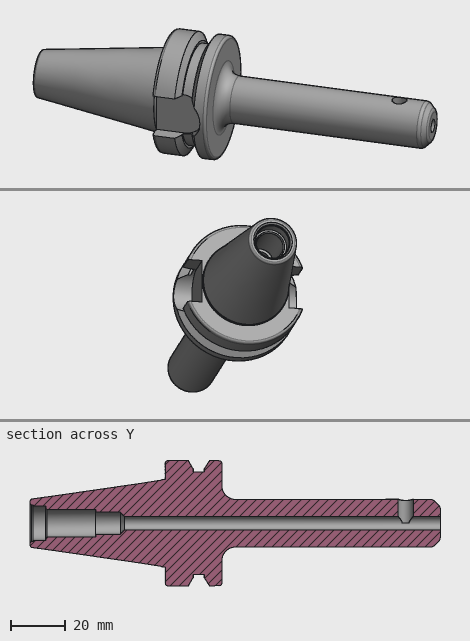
import cadquery as cq
import math

TOTAL_LENGTH = 150.4
TAPER_RATIO = 7 / 24
TAPER_LENGTH = 48.5
GAUGE_RADIUS = 31.9 / 2
SMALL_END_RADIUS = GAUGE_RADIUS - TAPER_LENGTH * TAPER_RATIO / 2
SMALL_END_ROUND = 0.8
COLLAR_RADIUS = 16.1

FLANGE_RADIUS = 46.0 / 2
FLANGE_START = 49.5
FLANGE_END = 70.4
FLANGE_ROUND = 1.0
GROOVE_START = 58.0
GROOVE_END = 65.7
GROOVE_FLOOR_START = 59.9
GROOVE_FLOOR_END = 63.8
GROOVE_FLOOR_RADIUS = 19.0
GROOVE_FLANK_ANGLE = math.radians(60)
GROOVE_FLANK_RADIUS = FLANGE_RADIUS - (GROOVE_FLOOR_START - GROOVE_START) * math.tan(GROOVE_FLANK_ANGLE)

SLOT_WIDTH = 16.1
SLOT_FLOOR = 16.2
SLOT_END = 68.1

SHANK_RADIUS = 17.6 / 2
SHANK_FILLET = 5.0
NOSE_START = 146.8
NOSE_ROUND = 2.0

MOUTH_RADIUS = 7.2
COUNTERBORE_RADIUS = 13.1 / 2
PILOT_RADIUS = 12.5 / 2
THREAD_RADIUS = 10.1 / 2
DEEP_BORE_RADIUS = 8.0 / 2
THROUGH_RADIUS = 4.8 / 2
MOUTH_DEPTH = 0.6
COUNTERBORE_DEPTH = 1.2
PILOT_DEPTH = 5.7
THREAD_CHAMFER = 0.5
THREAD_DEPTH = 24.0
DEEP_BORE_DEPTH = 33.1

CROSS_HOLE_DIAMETER = 5.4
CROSS_HOLE_X = 137.6


def arc_inset(radius, degrees):
    """Distance an arc departs from its starting tangent after turning by an angle."""
    return radius * (1 - math.cos(math.radians(degrees)))


def arc_run(radius, degrees):
    """Distance an arc advances along its starting tangent after turning by an angle."""
    return radius * math.sin(math.radians(degrees))


def turned_body():
    """Revolve the outer outline about the X axis."""
    end_bend = arc_inset(SMALL_END_ROUND, 45)
    bend = arc_inset(FLANGE_ROUND, 45)
    fillet_bend = arc_inset(SHANK_FILLET, 45)
    half_run = arc_run(NOSE_ROUND, 22.5)
    half_inset = arc_inset(NOSE_ROUND, 22.5)
    cone_start = NOSE_START + arc_run(NOSE_ROUND, 45)
    cone_start_radius = SHANK_RADIUS - arc_inset(NOSE_ROUND, 45)
    cone_end = TOTAL_LENGTH - arc_inset(NOSE_ROUND, 45)
    cone_end_radius = cone_start_radius - (cone_end - cone_start)
    end_face_radius = cone_end_radius - arc_run(NOSE_ROUND, 45)
    outline = (
        cq.Workplane("XY")
        .moveTo(0, 0)
        .lineTo(0, SMALL_END_RADIUS - SMALL_END_ROUND)
        .threePointArc(
            (end_bend, SMALL_END_RADIUS - end_bend),
            (SMALL_END_ROUND, SMALL_END_RADIUS + SMALL_END_ROUND * TAPER_RATIO / 2),
        )
        .lineTo(TAPER_LENGTH, GAUGE_RADIUS)
        .lineTo(TAPER_LENGTH, COLLAR_RADIUS)
        .lineTo(FLANGE_START, COLLAR_RADIUS)
        .lineTo(FLANGE_START, FLANGE_RADIUS - FLANGE_ROUND)
        .threePointArc(
            (FLANGE_START + bend, FLANGE_RADIUS - bend),
            (FLANGE_START + FLANGE_ROUND, FLANGE_RADIUS),
        )
        .lineTo(GROOVE_START, FLANGE_RADIUS)
        .lineTo(GROOVE_FLOOR_START, GROOVE_FLANK_RADIUS)
        .lineTo(GROOVE_FLOOR_START, GROOVE_FLOOR_RADIUS)
        .lineTo(GROOVE_FLOOR_END, GROOVE_FLOOR_RADIUS)
        .lineTo(GROOVE_FLOOR_END, GROOVE_FLANK_RADIUS)
        .lineTo(GROOVE_END, FLANGE_RADIUS)
        .lineTo(FLANGE_END - FLANGE_ROUND, FLANGE_RADIUS)
        .threePointArc(
            (FLANGE_END - bend, FLANGE_RADIUS - bend),
            (FLANGE_END, FLANGE_RADIUS - FLANGE_ROUND),
        )
        .lineTo(FLANGE_END, SHANK_RADIUS + SHANK_FILLET)
        .threePointArc(
            (FLANGE_END + fillet_bend, SHANK_RADIUS + fillet_bend),
            (FLANGE_END + SHANK_FILLET, SHANK_RADIUS),
        )
        .lineTo(NOSE_START, SHANK_RADIUS)
        .threePointArc((NOSE_START + half_run, SHANK_RADIUS - half_inset), (cone_start, cone_start_radius))
        .lineTo(cone_end, cone_end_radius)
        .threePointArc(
            (TOTAL_LENGTH - half_inset, end_face_radius + half_run),
            (TOTAL_LENGTH, end_face_radius),
        )
        .lineTo(TOTAL_LENGTH, 0)
        .close()
    )
    return outline.revolve(360, (0, 0, 0), (1, 0, 0))


def axial_bore():
    """Stepped bore entering from the small taper end and running through."""
    outline = (
        cq.Workplane("XY")
        .moveTo(0, 0)
        .lineTo(0, MOUTH_RADIUS)
        .lineTo(MOUTH_DEPTH, COUNTERBORE_RADIUS)
        .lineTo(COUNTERBORE_DEPTH, COUNTERBORE_RADIUS)
        .lineTo(COUNTERBORE_DEPTH, PILOT_RADIUS)
        .lineTo(PILOT_DEPTH, PILOT_RADIUS)
        .lineTo(PILOT_DEPTH, THREAD_RADIUS + THREAD_CHAMFER)
        .lineTo(PILOT_DEPTH + THREAD_CHAMFER, THREAD_RADIUS)
        .lineTo(THREAD_DEPTH, THREAD_RADIUS)
        .lineTo(THREAD_DEPTH, DEEP_BORE_RADIUS)
        .lineTo(DEEP_BORE_DEPTH, DEEP_BORE_RADIUS)
        .lineTo(DEEP_BORE_DEPTH + DEEP_BORE_RADIUS - THROUGH_RADIUS, THROUGH_RADIUS)
        .lineTo(TOTAL_LENGTH, THROUGH_RADIUS)
        .lineTo(TOTAL_LENGTH, 0)
        .close()
    )
    return outline.revolve(360, (0, 0, 0), (1, 0, 0))


def drive_slot(side):
    """Round-ended slot open toward the taper; side is -1 or +1 along Y."""
    arc_center = SLOT_END - SLOT_WIDTH / 2
    return (
        cq.Workplane("XZ", origin=(0, side * SLOT_FLOOR, 0))
        .moveTo(TAPER_LENGTH, -SLOT_WIDTH / 2)
        .lineTo(arc_center, -SLOT_WIDTH / 2)
        .threePointArc((SLOT_END, 0), (arc_center, SLOT_WIDTH / 2))
        .lineTo(TAPER_LENGTH, SLOT_WIDTH / 2)
        .close()
        .extrude(-side * FLANGE_RADIUS)
    )


def cross_hole():
    """Radial hole from the axis up through the +Z side of the shank."""
    return (
        cq.Workplane("XY")
        .center(CROSS_HOLE_X, 0)
        .circle(CROSS_HOLE_DIAMETER / 2)
        .extrude(2 * SHANK_RADIUS)
    )


result = turned_body().cut(axial_bore()).cut(cross_hole())
for slot_side in (-1, 1):
    result = result.cut(drive_slot(slot_side))